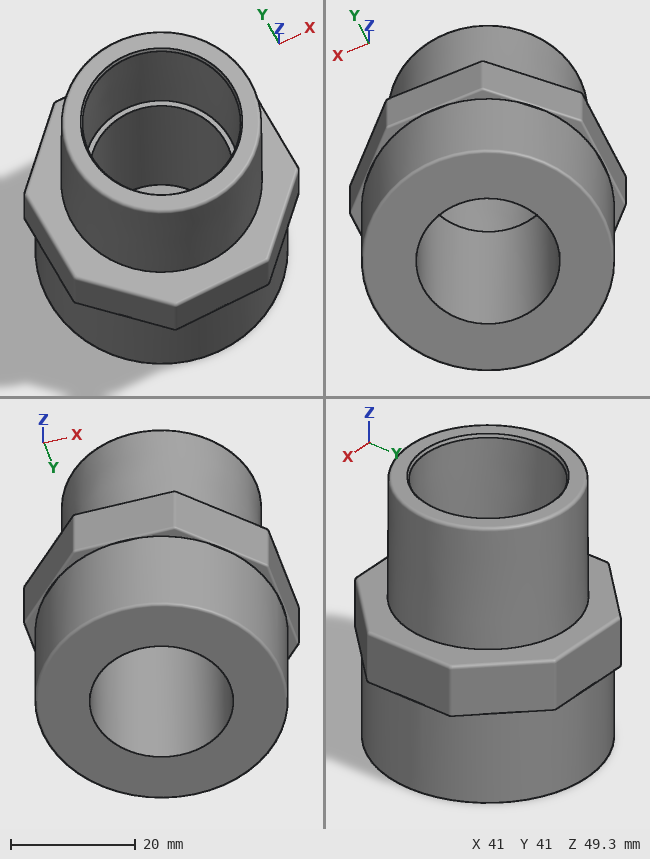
import cadquery as cq

total_height = 49.3

barrel_diameter = 40.5
barrel_height = 17.05
barrel_edge_radius = 0.5

collar_sides = 8
collar_across_flats = 41.0
collar_top = 26.55
collar_corner_radius = 0.8
collar_top_radius = 0.6
collar_bottom_radius = 0.4

neck_base_diameter = 32.25
neck_top_diameter = 32.0
neck_edge_radius = 0.6

through_diameter = 23.0
socket_mouth_diameter = 25.35
socket_seat_diameter = 24.85
socket_depth = 19.0
lead_in_diameter = 25.95
lead_in_depth = 0.6


def cone(bottom_z, bottom_diameter, top_z, top_diameter):
    """Cone frustum (or cylinder) about Z between two circles."""
    half_section = [
        (0, bottom_z),
        (bottom_diameter / 2, bottom_z),
        (top_diameter / 2, top_z),
        (0, top_z),
    ]
    return cq.Workplane("XZ").polyline(half_section).close().revolve(360, (0, 0), (0, 1))


def make_barrel():
    barrel = cone(0, barrel_diameter, barrel_height, barrel_diameter)
    return barrel.faces("<Z").edges().fillet(barrel_edge_radius)


def make_collar():
    collar = (
        cq.Workplane("XY", origin=(0, 0, barrel_height))
        .polygon(collar_sides, collar_across_flats, circumscribed=True)
        .extrude(collar_top - barrel_height)
    )
    collar = collar.edges("|Z").fillet(collar_corner_radius)
    collar = collar.faces(">Z").edges().fillet(collar_top_radius)
    return collar.faces("<Z").edges().fillet(collar_bottom_radius)


def make_neck():
    neck = cone(collar_top, neck_base_diameter, total_height, neck_top_diameter)
    return neck.faces(">Z").edges().fillet(neck_edge_radius)


def make_bore():
    seat_z = total_height - socket_depth
    mouth_z = total_height - lead_in_depth
    through_hole = cone(0, through_diameter, total_height, through_diameter)
    socket = cone(seat_z, socket_seat_diameter, mouth_z, socket_mouth_diameter)
    lead_in = cone(mouth_z, socket_mouth_diameter, total_height, lead_in_diameter)
    return through_hole.union(socket).union(lead_in)


result = make_barrel().union(make_collar()).union(make_neck()).cut(make_bore())